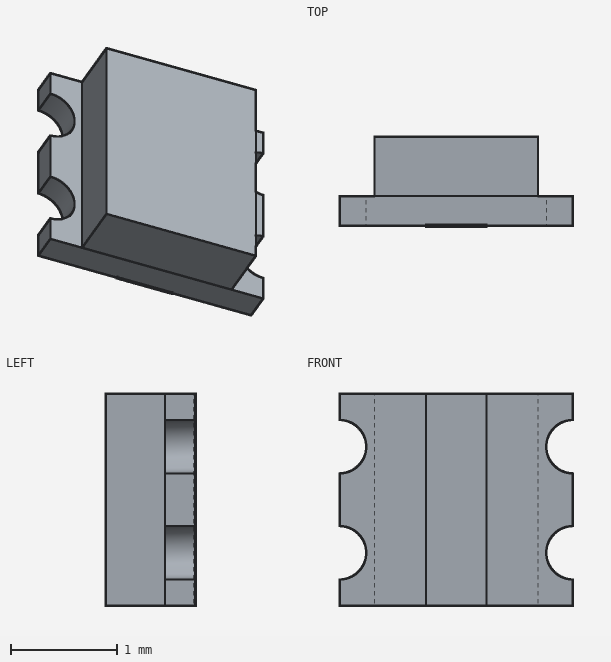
import cadquery as cq


board_width = 2.2
height = 2.0
board_depth = 0.28
notch_radius = 0.25
notch_spacing = height / 2

lens_width = 1.545
lens_depth = 0.56

strip_width = 0.57
strip_depth = 0.02
strip_proud = 0.009
strip_front = -strip_proud


def block(width, depth, front):
    """Full-height block centred on X and Z, reaching back from Y = front."""
    return cq.Workplane("XY").box(width, depth, height).translate((0, front + depth / 2, 0))


def edge_notches():
    """Cylinders for the half-round notches, two on each side edge of the board."""
    return (
        cq.Workplane("XZ")
        .rarray(board_width, notch_spacing, 2, 2)
        .circle(notch_radius)
        .extrude(-board_depth)
    )


def make_strip():
    return block(strip_width, strip_depth, strip_front)


def make_board():
    """Board with notched side edges and a shallow channel that seats the strip."""
    return block(board_width, board_depth, 0).cut(edge_notches()).cut(make_strip())


def make_lens():
    return block(lens_width, lens_depth, board_depth)


board = make_board()
lens = make_lens()
strip = make_strip()

result = cq.Compound.makeCompound([board.val(), lens.val(), strip.val()])